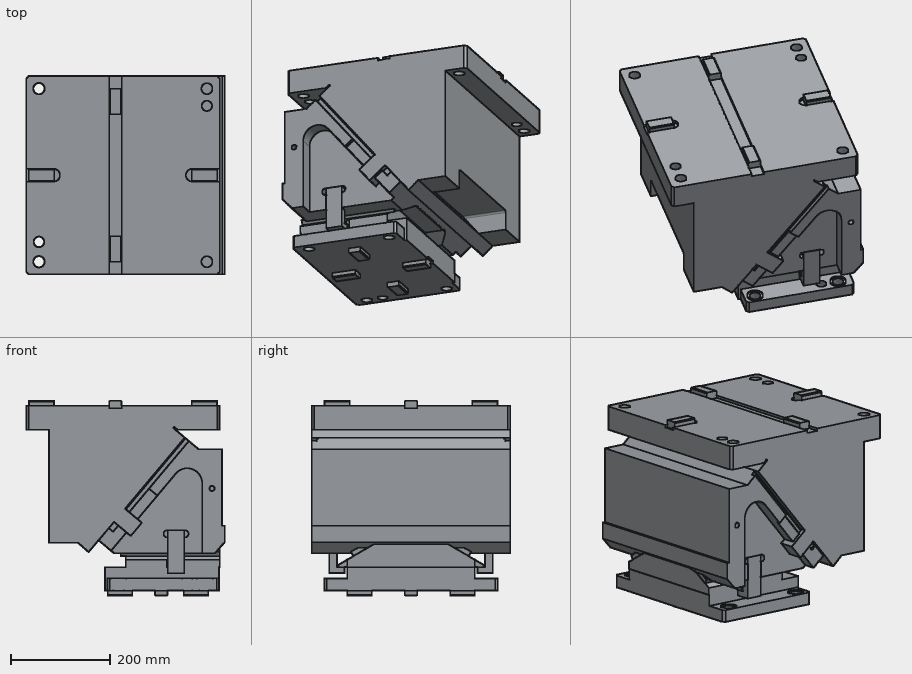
import cadquery as cq
import math

HALF_WIDTH = 200.0
TOTAL_HEIGHT = 393.0

KEY_WIDTH = 25.5
KEY_LENGTH = 51.0
BASE_KEY_LENGTH = 50.0
KEY_PROJECTION = 10.0
KEY_SEAT_DEPTH = 5.0
KEY_CHAMFER = 2.0

SLIDE_ANGLE = 50.0
SLIDE_ORIGIN_X = 199.0
SLIDE_ORIGIN_Z = 175.0
SLIDE_FACE_LENGTH = 187.0
TOOTH_WIDTH = 35.0
TOOTH_DEPTH = 44.0
LOWER_FACE_LENGTH = 48.5

PLATE_LENGTH = 389.5
PLATE_THICKNESS = 49.0
PLATE_TOP = TOTAL_HEIGHT - KEY_PROJECTION
PLATE_BOTTOM = PLATE_TOP - PLATE_THICKNESS
PLATE_CORNER_CHAMFER = 5.0
BLOCK_LEFT = 45.5
BLOCK_BOTTOM = 106.5
NOSE_START_X = 104.5
NOSE_LENGTH = 114.5
RELIEF_LENGTH = 30.5
RELIEF_WIDTH = 2.5
KEY_GROOVE_X = 179.5
KEY_SEAT_ROUND_CENTER = 55.0
KEY_EDGE_GAP = 5.0
CROSS_KEY_EDGE_GAP = 25.5
BOLT_EDGE = 25.5
BOLT_DIAMETER = 22.5
DOWEL_DIAMETER = 21.0
LEFT_DOWEL_Y = -134.5
RIGHT_DOWEL_Y = 139.5
POCKET_HALF_WIDTH = 124.0
POCKET_TOP = 147.5
POCKET_FILLET = 4.0
POCKET_STEP_HALF_WIDTH = 99.0
POCKET_STEP_BOTTOM = 144.0
POCKET_STEP_DEPTH = 3.0

SLIDE_BACK = 395.0
SLIDE_TOP = 295.0
SLIDE_BOTTOM = 85.0
HEEL_BACK = 400.0
HEEL_TOP = 141.0
HEEL_CHAMFER_TOP = 107.5
HEEL_CHAMFER_X = 380.0
RECESS_LINE = 33.0
RECESS_HALF_WIDTH = 166.0
RECESS_RIGHT = 354.5
RECESS_RADIUS = 30.0
LEDGE_HALF_WIDTH = 193.0
LEDGE_LENGTH = 62.0
STRIP_DEPTH = 11.0
STRIP_HALF_WIDTH = 189.5
GAP_DEPTH = 2.0
GAP_HALF_WIDTH = 187.0
RELIEF_NOTCH_LENGTH = 16.5
RELIEF_NOTCH_DEPTH = 11.0
RELIEF_NOTCH_HALF_WIDTH = 188.0
CROSS_HOLE_X = 374.5
CROSS_HOLE_Z = 216.0
CROSS_HOLE_DIAMETER = 10.5
CROSS_HOLE_DEPTH = 24.0

STRAP_LEFT = 285.0
STRAP_RIGHT = 319.0
STRAP_BOTTOM = 45.5
STRAP_TOP = 131.5
STRAP_OUTSIDE = 165.0
STRAP_THICKNESS = 16.0
TOE_END = 133.5
STRAP_SLOT_LENGTH = 50.5
STRAP_SLOT_HEIGHT = 14.0

ROOF_ANGLE = 30.0
ROOF_HALF_WIDTH = 116.5
ROOF_Z = 79.5
RIDGE_TOP = 104.0
RIDGE_LEFT = 200.5
RIDGE_RIGHT = 390.0
BASE_LEFT = 158.5
BASE_RIGHT = 389.0
BASE_HALF_WIDTH = 129.0
BASE_BOTTOM = KEY_PROJECTION
BASE_STEP_TOP = 57.5
LUG_LEFT = 283.0
LUG_HALF_WIDTH = 145.5
FOOT_LEFT = 163.0
FOOT_HALF_WIDTH = 175.0
FOOT_THICKNESS = 25.0
FOOT_CHAMFER = 5.0
FOOT_HOLE_Y = 155.0
FOOT_HOLE_XS = (186.0, 359.5)
FOOT_HOLE_DIAMETER = 22.0
COUNTERBORE_DIAMETER = 32.0
COUNTERBORE_DEPTH = 2.0
FOOT_DOWEL_X = 325.0
FOOT_DOWEL_DIAMETER = 20.0
BASE_KEY_XS = (189.0, 342.0)
BASE_CROSS_KEY_X = 272.0

WEAR_PLATE_LEFT = 190.0
WEAR_PLATE_THICKNESS = 10.0

BEYOND = 20.0


def on_slide(along, below):
    """X, Z of a point measured along the sliding plane and square below it."""
    angle = math.radians(SLIDE_ANGLE)
    x = SLIDE_ORIGIN_X + along * math.cos(angle) + below * math.sin(angle)
    z = SLIDE_ORIGIN_Z + along * math.sin(angle) - below * math.cos(angle)
    return x, z


def meets_height(along, z):
    """Depth below the sliding plane where the square line at `along` reaches height z."""
    return (on_slide(along, 0)[1] - z) / math.cos(math.radians(SLIDE_ANGLE))


def side_prism(points, half_width):
    """Outline in X, Z extruded evenly to both sides of the middle plane."""
    return cq.Workplane("XZ").polyline(points).close().extrude(half_width, both=True)


def slide_rectangle(along_start, along_end, below_start, below_end):
    return [
        on_slide(along_start, below_start),
        on_slide(along_end, below_start),
        on_slide(along_end, below_end),
        on_slide(along_start, below_end),
    ]


def span_box(x_start, x_end, y_start, y_end, z_start, z_end):
    size = (x_end - x_start, y_end - y_start, z_end - z_start)
    return cq.Workplane("XY").box(*size, centered=False).translate((x_start, y_start, z_start))


def both_sides(shape):
    return shape.union(shape.mirror("XZ"))


def outside(points, half_width):
    """The part of a side prism that lies outside +/- half_width."""
    return side_prism(points, HALF_WIDTH + BEYOND).cut(side_prism(points, half_width))


def key(x, y, seat_z, length, along_x=True, upward=True):
    """Locating key with chamfered long edges, standing on its seat."""
    height = KEY_PROJECTION + KEY_SEAT_DEPTH
    bar = cq.Workplane("XY").box(length, KEY_WIDTH, height, centered=(True, True, False))
    bar = bar.edges("|X and >Z").chamfer(KEY_CHAMFER)
    if not along_x:
        bar = bar.rotate((0, 0, 0), (0, 0, 1), 90)
    if not upward:
        bar = bar.mirror("XY")
    return bar.translate((x, y, seat_z))


def roof_height(y):
    return ROOF_Z + (ROOF_HALF_WIDTH - y) * math.tan(math.radians(ROOF_ANGLE))


RIDGE_TOP_HALF_WIDTH = ROOF_HALF_WIDTH - (RIDGE_TOP - ROOF_Z) / math.tan(math.radians(ROOF_ANGLE))


def roof_prism(x_start, x_end, half_width, bottom):
    """Flat-topped roof section running along X."""
    right_half = [
        (RIDGE_TOP_HALF_WIDTH, RIDGE_TOP),
        (half_width, roof_height(half_width)),
        (half_width, bottom),
    ]
    left_half = [(-y, z) for y, z in reversed(right_half)]
    section = cq.Workplane("YZ", origin=(x_start, 0, 0)).polyline(right_half + left_half)
    return section.close().extrude(x_end - x_start)


def upper_plate():
    plate = span_box(0, PLATE_LENGTH, -HALF_WIDTH, HALF_WIDTH, PLATE_BOTTOM, PLATE_TOP)
    return plate.edges("|Z").chamfer(PLATE_CORNER_CHAMFER)


def upper_block():
    slide_end = SLIDE_FACE_LENGTH
    return side_prism([
        (BLOCK_LEFT, PLATE_BOTTOM),
        (BLOCK_LEFT, BLOCK_BOTTOM),
        (NOSE_START_X, BLOCK_BOTTOM),
        on_slide(-NOSE_LENGTH, 0),
        on_slide(-TOOTH_WIDTH, 0),
        on_slide(-TOOTH_WIDTH, TOOTH_DEPTH),
        on_slide(0, TOOTH_DEPTH),
        on_slide(0, 0),
        on_slide(slide_end, 0),
        on_slide(slide_end, meets_height(slide_end, PLATE_BOTTOM)),
    ], HALF_WIDTH)


def relief_slit():
    return side_prism(slide_rectangle(
        SLIDE_FACE_LENGTH, SLIDE_FACE_LENGTH + RELIEF_WIDTH, -RELIEF_LENGTH, 0,
    ), HALF_WIDTH + BEYOND)


def upper_pocket():
    """Pocket in the left face, with a sloped floor that has a shallow step near its top."""
    slope = math.tan(math.radians(SLIDE_ANGLE))

    def floor_x(z):
        return NOSE_START_X + (z - BLOCK_BOTTOM) / slope

    pocket = side_prism([
        (BLOCK_LEFT - BEYOND, BLOCK_BOTTOM - BEYOND),
        (NOSE_START_X, BLOCK_BOTTOM - BEYOND),
        (NOSE_START_X, BLOCK_BOTTOM),
        (floor_x(POCKET_TOP), POCKET_TOP),
        (BLOCK_LEFT - BEYOND, POCKET_TOP),
    ], POCKET_HALF_WIDTH)
    pocket = pocket.edges("|X and >Z").fillet(POCKET_FILLET)
    step = side_prism([
        (floor_x(POCKET_STEP_BOTTOM), POCKET_STEP_BOTTOM),
        (floor_x(POCKET_STEP_BOTTOM) + POCKET_STEP_DEPTH, POCKET_STEP_BOTTOM),
        (floor_x(POCKET_TOP) + POCKET_STEP_DEPTH, POCKET_TOP),
        (floor_x(POCKET_TOP), POCKET_TOP),
    ], POCKET_STEP_HALF_WIDTH)
    return pocket.union(step)


def plate_holes():
    left = BOLT_EDGE
    right = PLATE_LENGTH - BOLT_EDGE
    bolt_y = HALF_WIDTH - BOLT_EDGE
    drill = cq.Workplane("XY", origin=(0, 0, PLATE_BOTTOM - BEYOND))
    depth = PLATE_THICKNESS + 2 * BEYOND
    bolts = [(x, y) for x in (left, right) for y in (-bolt_y, bolt_y)]
    dowels = [(left, LEFT_DOWEL_Y), (right, RIGHT_DOWEL_Y)]
    return [
        drill.pushPoints(bolts).circle(BOLT_DIAMETER / 2).extrude(depth),
        drill.pushPoints(dowels).circle(DOWEL_DIAMETER / 2).extrude(depth),
    ]


def open_key_seat(center_x, edge_x, seat_z):
    """Round-ended seat that runs out through the edge at edge_x."""
    start = min(center_x, edge_x)
    end = max(center_x, edge_x)
    half = KEY_WIDTH / 2
    seat = span_box(start, end, -half, half, seat_z, seat_z + KEY_SEAT_DEPTH)
    round_end = cq.Workplane("XY", origin=(center_x, 0, seat_z)).circle(half).extrude(KEY_SEAT_DEPTH)
    return seat.union(round_end)


def make_upper_die():
    die = upper_plate().union(upper_block()).cut(relief_slit()).cut(upper_pocket())
    for holes in plate_holes():
        die = die.cut(holes)

    seat_z = PLATE_TOP - KEY_SEAT_DEPTH
    half_key = KEY_WIDTH / 2
    die = die.cut(span_box(KEY_GROOVE_X - half_key, KEY_GROOVE_X + half_key,
                           -HALF_WIDTH, HALF_WIDTH, seat_z, PLATE_TOP))
    die = die.cut(open_key_seat(KEY_SEAT_ROUND_CENTER, 0, seat_z))
    die = die.cut(open_key_seat(PLATE_LENGTH - KEY_SEAT_ROUND_CENTER, PLATE_LENGTH, seat_z))

    key_x = KEY_EDGE_GAP + KEY_LENGTH / 2
    for x in (key_x, PLATE_LENGTH - key_x):
        die = die.union(key(x, 0, seat_z, KEY_LENGTH))
    key_y = HALF_WIDTH - CROSS_KEY_EDGE_GAP - KEY_LENGTH / 2
    for y in (-key_y, key_y):
        die = die.union(key(KEY_GROOVE_X, y, seat_z, KEY_LENGTH, along_x=False))
    return die


SLIDE_LOW_END = -TOOTH_WIDTH - LOWER_FACE_LENGTH


def slide_block():
    return side_prism([
        on_slide(0, 0),
        on_slide(SLIDE_FACE_LENGTH, 0),
        on_slide(SLIDE_FACE_LENGTH, meets_height(SLIDE_FACE_LENGTH, SLIDE_TOP)),
        (SLIDE_BACK, SLIDE_TOP),
        (SLIDE_BACK, HEEL_TOP),
        (HEEL_BACK, HEEL_TOP),
        (HEEL_BACK, HEEL_CHAMFER_TOP),
        (HEEL_CHAMFER_X, SLIDE_BOTTOM),
        on_slide(SLIDE_LOW_END, meets_height(SLIDE_LOW_END, SLIDE_BOTTOM)),
        on_slide(SLIDE_LOW_END, 0),
        on_slide(-TOOTH_WIDTH, 0),
        on_slide(-TOOTH_WIDTH, TOOTH_DEPTH),
        on_slide(0, TOOTH_DEPTH),
    ], HALF_WIDTH)


def side_recesses():
    """Arched recess in each side face, open at the bottom."""
    angle = math.radians(SLIDE_ANGLE)
    center_x = RECESS_RIGHT - RECESS_RADIUS
    reach = (center_x - on_slide(0, RECESS_LINE + RECESS_RADIUS)[0]) / math.cos(angle)
    center_z = on_slide(reach, RECESS_LINE + RECESS_RADIUS)[1]
    low_left = on_slide(SLIDE_LOW_END - BEYOND, RECESS_LINE)

    def arch(half_width):
        outline = (
            cq.Workplane("XZ")
            .moveTo(*low_left)
            .lineTo(*on_slide(reach, RECESS_LINE))
            .threePointArc((center_x, center_z + RECESS_RADIUS), (RECESS_RIGHT, center_z))
            .lineTo(RECESS_RIGHT, low_left[1])
            .close()
        )
        return outline.extrude(half_width, both=True)

    return arch(HALF_WIDTH + BEYOND).cut(arch(RECESS_HALF_WIDTH))


def side_steps():
    """Shallow set-backs of the side faces next to the sliding plane."""
    tooth_low = -TOOTH_WIDTH
    return [
        outside(slide_rectangle(0, LEDGE_LENGTH, 0, RECESS_LINE), LEDGE_HALF_WIDTH),
        outside(slide_rectangle(SLIDE_LOW_END, tooth_low, 0, RECESS_LINE), LEDGE_HALF_WIDTH),
        outside(slide_rectangle(0, SLIDE_FACE_LENGTH, 0, STRIP_DEPTH), STRIP_HALF_WIDTH),
        outside(slide_rectangle(0, SLIDE_FACE_LENGTH, 0, GAP_DEPTH), GAP_HALF_WIDTH),
        outside(slide_rectangle(tooth_low - RELIEF_NOTCH_LENGTH, tooth_low, 0, RELIEF_NOTCH_DEPTH),
                RELIEF_NOTCH_HALF_WIDTH),
    ]


def wear_plate(side):
    """Plate lying on one flank of the roof, its outer edge square to the flank."""
    angle = math.radians(ROOF_ANGLE)
    rise_y = WEAR_PLATE_THICKNESS * math.sin(angle)
    rise_z = WEAR_PLATE_THICKNESS * math.cos(angle)
    section = [
        (side * ROOF_HALF_WIDTH, ROOF_Z),
        (side * (ROOF_HALF_WIDTH + rise_y), ROOF_Z + rise_z),
        (side * (RIDGE_TOP_HALF_WIDTH + rise_y), RIDGE_TOP + rise_z),
        (side * RIDGE_TOP_HALF_WIDTH, RIDGE_TOP),
    ]
    start = cq.Workplane("YZ", origin=(WEAR_PLATE_LEFT, 0, 0))
    return start.polyline(section).close().extrude(RIDGE_RIGHT - WEAR_PLATE_LEFT)


def strap():
    """Hook on the +Y side: an upright with a toe that reaches under the base lug."""
    inside = STRAP_OUTSIDE - STRAP_THICKNESS
    upright = span_box(STRAP_LEFT, STRAP_RIGHT, inside, STRAP_OUTSIDE, STRAP_BOTTOM, STRAP_TOP)
    toe = span_box(STRAP_LEFT, STRAP_RIGHT, TOE_END, inside, STRAP_BOTTOM, BASE_STEP_TOP)
    return upright.union(toe)


def strap_seat():
    """Round-ended slot and shallow channel that receive the strap on the +Y side."""
    middle_x = (STRAP_LEFT + STRAP_RIGHT) / 2
    middle_z = STRAP_TOP - STRAP_SLOT_HEIGHT / 2
    inside = STRAP_OUTSIDE - STRAP_THICKNESS
    slot = (
        cq.Workplane("XZ", origin=(middle_x, inside, middle_z))
        .slot2D(STRAP_SLOT_LENGTH, STRAP_SLOT_HEIGHT)
        .extrude(-(RECESS_HALF_WIDTH - inside))
    )
    channel = span_box(STRAP_LEFT, STRAP_RIGHT, inside, RECESS_HALF_WIDTH, SLIDE_BOTTOM, STRAP_TOP)
    return slot.union(channel)


def cross_hole():
    """Blind hole into the -Y side face."""
    start = cq.Workplane("XZ", origin=(CROSS_HOLE_X, -HALF_WIDTH, CROSS_HOLE_Z))
    return start.circle(CROSS_HOLE_DIAMETER / 2).extrude(-CROSS_HOLE_DEPTH)


def make_slide():
    slide = slide_block().cut(side_recesses())
    for step in side_steps():
        slide = slide.cut(step)
    slide = slide.cut(both_sides(cross_hole()))
    roof_channel = roof_prism(BASE_LEFT, HEEL_BACK, BASE_HALF_WIDTH, BASE_BOTTOM)
    slide = slide.cut(roof_channel)
    for side in (-1, 1):
        slide = slide.union(wear_plate(side))
    return slide.cut(both_sides(strap_seat())).union(both_sides(strap()))


def foot_plate():
    top = BASE_BOTTOM + FOOT_THICKNESS
    foot = span_box(FOOT_LEFT, BASE_RIGHT, -FOOT_HALF_WIDTH, FOOT_HALF_WIDTH, BASE_BOTTOM, top)
    foot = foot.edges("|Z").chamfer(FOOT_CHAMFER)
    bolts = [(x, y) for x in FOOT_HOLE_XS for y in (-FOOT_HOLE_Y, FOOT_HOLE_Y)]
    drill = cq.Workplane("XY", origin=(0, 0, top))
    foot = foot.cut(drill.pushPoints(bolts).circle(FOOT_HOLE_DIAMETER / 2).extrude(-FOOT_THICKNESS))
    foot = foot.cut(drill.pushPoints(bolts).circle(COUNTERBORE_DIAMETER / 2).extrude(-COUNTERBORE_DEPTH))
    dowel = drill.center(FOOT_DOWEL_X, -FOOT_HOLE_Y).circle(FOOT_DOWEL_DIAMETER / 2)
    return foot.cut(dowel.extrude(-FOOT_THICKNESS))


def make_base():
    body = span_box(BASE_LEFT, BASE_RIGHT, -BASE_HALF_WIDTH, BASE_HALF_WIDTH, BASE_BOTTOM, BASE_STEP_TOP)
    base = body.union(foot_plate())
    base = base.union(roof_prism(RIDGE_LEFT, RIDGE_RIGHT, BASE_HALF_WIDTH, BASE_STEP_TOP))
    base = base.union(roof_prism(LUG_LEFT, STRAP_RIGHT, LUG_HALF_WIDTH, BASE_STEP_TOP))

    seat_z = BASE_BOTTOM + KEY_SEAT_DEPTH
    half_key = KEY_WIDTH / 2
    seat_end = BASE_KEY_XS[0] + BASE_KEY_LENGTH / 2
    base = base.cut(span_box(BASE_LEFT, seat_end, -half_key, half_key, BASE_BOTTOM, seat_z))
    for x in BASE_KEY_XS:
        base = base.union(key(x, 0, seat_z, BASE_KEY_LENGTH, upward=False))
    key_y = BASE_HALF_WIDTH - BASE_KEY_LENGTH / 2
    for y in (-key_y, key_y):
        base = base.union(key(BASE_CROSS_KEY_X, y, seat_z, BASE_KEY_LENGTH, along_x=False, upward=False))
    return base


upper_die = make_upper_die()
slide = make_slide()
base = make_base()

result = cq.Compound.makeCompound([body.solids().val() for body in (upper_die, slide, base)])